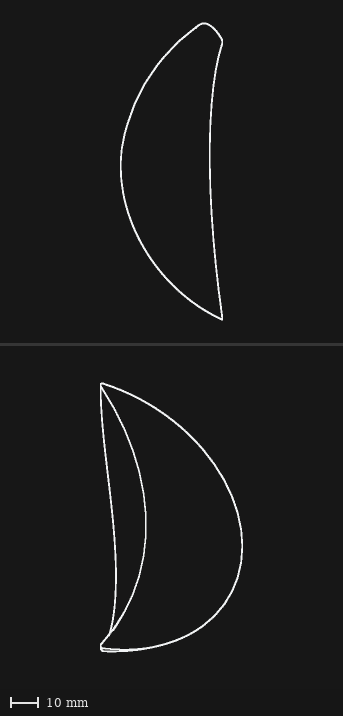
import cadquery as cq
import math

base_radius = 60.0
centre_depth = 29.2
notch_radius = 106.3
crescent_width = 36.7
edge_fillet = 1.0

sphere_radius = math.hypot(base_radius, centre_depth)
notch_centre_x = -base_radius + crescent_width + notch_radius
cutter_size = 4 * sphere_radius


def full_dome():
    """Sphere whose section at Y = 0 is the base circle."""
    return cq.Workplane("XY").sphere(sphere_radius).translate((0, centre_depth, 0))


def notch_cutter():
    """Cylinder along Y that hollows the +X side into a crescent."""
    return (
        cq.Workplane("XZ")
        .center(notch_centre_x, 0)
        .circle(notch_radius)
        .extrude(cutter_size, both=True)
    )


def back_cutter():
    """Block that removes everything behind the flat back."""
    return cq.Workplane("XY").box(cutter_size, cutter_size, cutter_size).translate((0, cutter_size / 2, 0))


crescent = full_dome().cut(notch_cutter())
crescent = crescent.edges("<Y").fillet(edge_fillet)
result = crescent.cut(back_cutter())